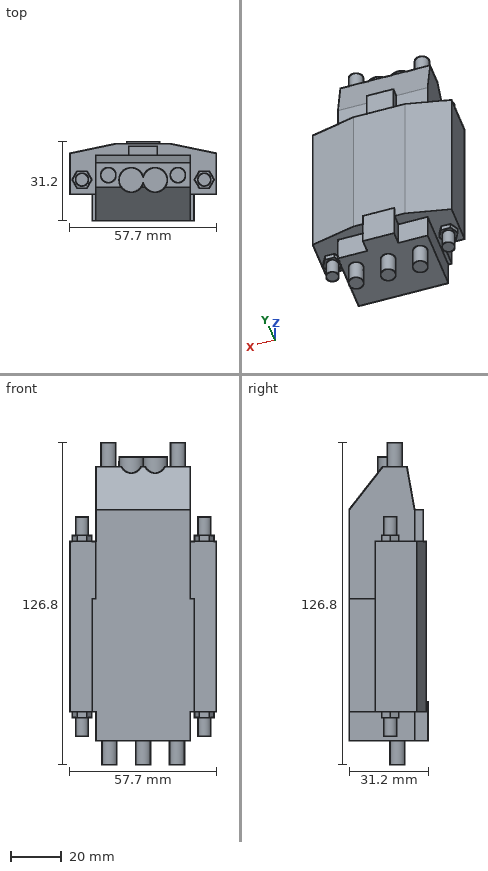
import cadquery as cq

total_height = 126.8
body_bottom = 9.4
body_top = 117.5
shoulder_z = 100.5

body_width = 37.3
body_depth = 25.9
top_front_y = 13.3
top_back_y = 22.8

flange_width = 57.7
flange_bottom = 20.8
flange_top = 88.0
flange_front_y = 10.4
flange_edge_y = 26.6
flange_back_y = 30.5
flange_flat_width = 21.3

skirt_width = 40.2
skirt_top = 65.3

upper_block_width = 11.2
upper_block_back_y = 29.3
lower_block_width = 13.0
lower_block_back_y = 31.2
lower_block_top = 24.9

stud_diameter = 5.1
stud_x = 24.1
stud_y = 16.2
stud_projection = 9.6
nut_corner_diameter = 7.7
nut_thickness = 2.3

pin_diameter = 6.0
top_pin_x = 13.7
top_pin_y = 18.0
bottom_pin_spacing = 13.3
bottom_pin_y = 19.0
cap_diameter = 9.6
cap_x = 4.7
cap_y = 16.1
cap_top = 121.3


def block(width, y_front, y_back, z_bottom, z_top):
    """Box centred on X = 0."""
    size = (width, y_back - y_front, z_top - z_bottom)
    return cq.Workplane("XY").box(*size, centered=(True, False, False)).translate((0, y_front, z_bottom))


def cylinder(diameter, x, y, z_bottom, z_top):
    """Vertical round bar between two levels."""
    return cq.Workplane("XY", origin=(x, y, z_bottom)).circle(diameter / 2).extrude(z_top - z_bottom)


def main_body():
    """Side profile with a sloped front and a slightly tapered back at the top."""
    profile = [
        (0, body_bottom),
        (body_depth, body_bottom),
        (body_depth, shoulder_z),
        (top_back_y, body_top),
        (top_front_y, body_top),
        (0, shoulder_z),
    ]
    return cq.Workplane("YZ").polyline(profile).close().extrude(body_width / 2, both=True)


def flanges():
    """Both side flanges as one crossbar with a back that slopes away from the middle."""
    half_width = flange_width / 2
    half_flat = flange_flat_width / 2
    profile = [
        (-half_width, flange_front_y),
        (half_width, flange_front_y),
        (half_width, flange_edge_y),
        (half_flat, flange_back_y),
        (-half_flat, flange_back_y),
        (-half_width, flange_edge_y),
    ]
    plane = cq.Workplane("XY", origin=(0, 0, flange_bottom))
    return plane.polyline(profile).close().extrude(flange_top - flange_bottom)


def stud_with_nuts(x):
    """Stud running through a flange, with a nut against each end face."""
    stud = cylinder(stud_diameter, x, stud_y, flange_bottom - stud_projection, flange_top + stud_projection)
    for nut_bottom in (flange_bottom - nut_thickness, flange_top):
        plane = cq.Workplane("XY", origin=(x, stud_y, nut_bottom))
        stud = stud.union(plane.polygon(6, nut_corner_diameter).extrude(nut_thickness))
    return stud


result = main_body().union(flanges())
result = result.union(block(skirt_width, 0, flange_front_y, flange_bottom, skirt_top))

result = result.union(block(upper_block_width, top_back_y, upper_block_back_y, flange_bottom, shoulder_z))
result = result.union(block(lower_block_width, top_back_y, lower_block_back_y, body_bottom, lower_block_top))

for side in (-1, 1):
    result = result.union(stud_with_nuts(side * stud_x))
    result = result.union(cylinder(pin_diameter, side * top_pin_x, top_pin_y, body_top, total_height))
    result = result.union(cylinder(cap_diameter, side * cap_x, cap_y, shoulder_z, cap_top))

for position in (-1, 0, 1):
    result = result.union(cylinder(pin_diameter, position * bottom_pin_spacing, bottom_pin_y, 0, body_bottom))